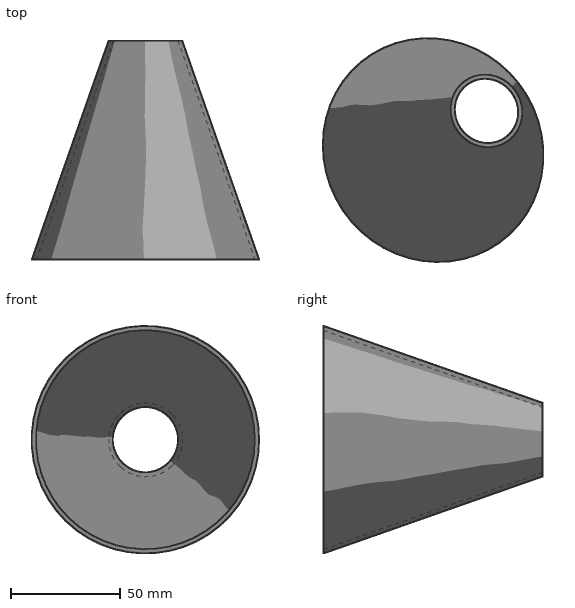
import cadquery as cq

large_outer_diameter = 104.0
small_outer_diameter = 33.7
wall_thickness = 2.0
length = 100.0

large_outer_radius = large_outer_diameter / 2
small_outer_radius = small_outer_diameter / 2
large_inner_radius = large_outer_radius - wall_thickness
small_inner_radius = small_outer_radius - wall_thickness


def reducer():
    """Revolve the slanted wall section about Y, wide end at Y = 0."""
    wall_section = (
        cq.Workplane("XY")
        .moveTo(large_inner_radius, 0)
        .lineTo(large_outer_radius, 0)
        .lineTo(small_outer_radius, length)
        .lineTo(small_inner_radius, length)
        .close()
    )
    return wall_section.revolve(360, (0, 0, 0), (0, 1, 0))


result = reducer()